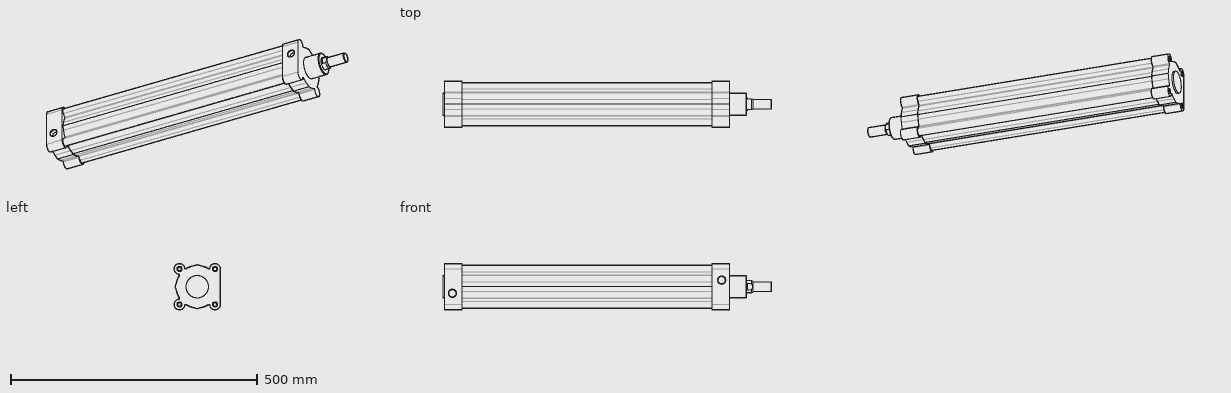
import cadquery as cq
import math

total_length = 668.0
cap_width = 94.0
spigot_length = 3.5
cap_length = 36.0
front_cap_start = 546.5
nose_length = 35.0

rear_cap_start = spigot_length
barrel_start = rear_cap_start + cap_length
barrel_length = front_cap_start - barrel_start
nose_start = front_cap_start + cap_length
nose_end = nose_start + nose_length

screw_offset = 36.0
cap_side = cap_width / 2
cap_boss_radius = cap_side - screw_offset
cap_radius = 43.5
cap_ridge_angle = 15.0
nose_radius = 23.0
nose_chamfer = 1.5
screw_hole_radius = 3.7
screw_hole_chamfer = 1.7
screw_hole_depth = 10.0
port_radius = 7.5
port_chamfer = 1.0
port_depth = 10.0
port_height = 13.5
port_inset = 16.0

barrel_radius = 42.0
barrel_ridge_angle = 13.0
tube_radius = 8.0
web_width = 2 * tube_radius

valley_fillet = 1.5

rod_radius = 13.0
thread_radius = 10.0
flats_width = 22.0
flats_start = nose_end + 2.0
shoulder_start = nose_end + 10.0
shoulder_length = 3.0
end_chamfer = 1.5

screw_points = [(y * screw_offset, z * screw_offset) for y in (-1, 1) for z in (-1, 1)]


def section(x):
    """Workplane across the axis at x; its local axes are Y and Z, and it extrudes toward +X."""
    return cq.Workplane("YZ", origin=(x, 0, 0))


def disc(x, radius, length):
    return section(x).circle(radius).extrude(length)


def ridged_core(x, radius, ridge_angle, length):
    """Round bar with a shallow ridge on each of its four sides, made of two planes tangent to the bar."""
    core = disc(x, radius, length)
    tangent_y = radius * math.sin(math.radians(ridge_angle))
    tangent_z = radius * math.cos(math.radians(ridge_angle))
    ridge_height = radius / math.cos(math.radians(ridge_angle))
    outline = [(0, 0), (tangent_y, tangent_z), (0, ridge_height), (-tangent_y, tangent_z)]
    for turn in range(0, 360, 90):
        ridge = section(x).polyline(outline).close().extrude(length)
        core = core.union(ridge.rotate((0, 0, 0), (1, 0, 0), turn))
    return core


def round_valleys(body, radius, ridge_angle):
    """Round the inner corners where the bosses or webs leave a core of the given radius."""
    ridge_half_width = radius * math.sin(math.radians(ridge_angle))

    def is_valley(edge):
        middle = edge.Center()
        on_core = abs(math.hypot(middle.y, middle.z) - radius) < 0.1
        return on_core and min(abs(middle.y), abs(middle.z)) > ridge_half_width + valley_fillet

    return body.newObject([edge for edge in body.edges("|X").vals() if is_valley(edge)]).fillet(valley_fillet)


def make_cap_block(x):
    """Round plate with four ridges, four corner bosses and a flat port face on the -Y side."""
    block = ridged_core(x, cap_radius, cap_ridge_angle, cap_length)
    bosses = section(x).pushPoints(screw_points).circle(cap_boss_radius).extrude(cap_length)
    block = round_valleys(block.union(bosses), cap_radius, cap_ridge_angle)
    port_pad = cq.Workplane("XY").box(
        cap_length, cap_side, 2 * screw_offset, centered=(False, False, True)
    ).translate((x, -cap_side, 0))
    return block.union(port_pad)


def countersunk_hole(radius, depth, chamfer):
    """Cutter along +X from the origin: a blind hole with a conical mouth."""
    return (
        cq.Workplane("XY")
        .polyline([(0, 0), (0, radius + chamfer), (chamfer, radius), (depth, radius), (depth, 0)])
        .close()
        .revolve(360, (0, 0, 0), (1, 0, 0))
    )


def port_hole(x, z):
    hole = countersunk_hole(port_radius, port_depth, port_chamfer)
    return hole.rotate((0, 0, 0), (0, 0, 1), 90).translate((x, -cap_side, z))


def make_rear_cap():
    spigot = disc(0, nose_radius, spigot_length)
    cap = make_cap_block(rear_cap_start).union(spigot)
    screw_hole = countersunk_hole(screw_hole_radius, screw_hole_depth, screw_hole_chamfer)
    for y, z in screw_points:
        cap = cap.cut(screw_hole.translate((rear_cap_start, y, z)))
    return cap.cut(port_hole(rear_cap_start + port_inset, -port_height))


def make_front_cap():
    nose = disc(nose_start, nose_radius, nose_length).faces(">X").chamfer(nose_chamfer)
    rod_bore = disc(front_cap_start, rod_radius, cap_length + nose_length)
    port = port_hole(nose_start - port_inset, port_height)
    return make_cap_block(front_cap_start).union(nose).cut(rod_bore).cut(port)


def make_barrel():
    """Ridged core with four corner tubes joined to it by diagonal webs."""
    barrel = ridged_core(barrel_start, barrel_radius, barrel_ridge_angle, barrel_length)
    tubes = section(barrel_start).pushPoints(screw_points).circle(tube_radius).extrude(barrel_length)
    barrel = barrel.union(tubes)
    web_span = 2 * math.hypot(screw_offset, screw_offset)
    for angle in (45, 135):
        web = section(barrel_start).rect(web_span, web_width).extrude(barrel_length)
        barrel = barrel.union(web.rotate((0, 0, 0), (1, 0, 0), angle))
    return round_valleys(barrel, barrel_radius, barrel_ridge_angle)


def make_rod():
    shoulder_end = shoulder_start + shoulder_length
    rod = (
        cq.Workplane("XY")
        .moveTo(front_cap_start, 0)
        .lineTo(front_cap_start, rod_radius)
        .lineTo(shoulder_start, rod_radius)
        .lineTo(shoulder_end, thread_radius)
        .lineTo(total_length - end_chamfer, thread_radius)
        .lineTo(total_length, thread_radius - end_chamfer)
        .lineTo(total_length, 0)
        .close()
        .revolve(360, (0, 0, 0), (1, 0, 0))
    )
    flats_length = shoulder_end - flats_start
    for side in (-1, 1):
        flat_cut = cq.Workplane("XY").box(
            flats_length, rod_radius, 2 * rod_radius, centered=(False, True, True)
        ).translate((flats_start, side * (flats_width + rod_radius) / 2, 0))
        rod = rod.cut(flat_cut)
    return rod


rear_cap = make_rear_cap()
front_cap = make_front_cap()
barrel = make_barrel()
piston_rod = make_rod()

result = cq.Compound.makeCompound(
    [rear_cap.val(), barrel.val(), front_cap.val(), piston_rod.val()]
)